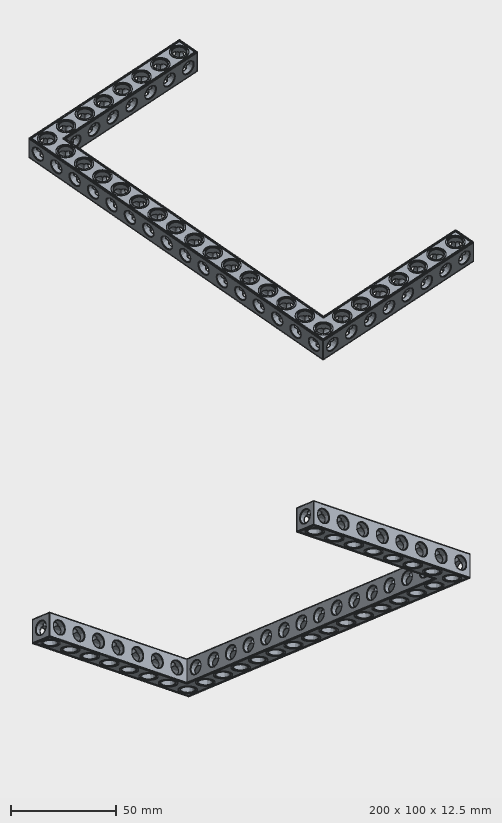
import cadquery as cq

length = 200.0
columns = 16
rows = 8
pitch = length / columns
depth = rows * pitch

hole_diameter = 7.0
chamfer = 0.3

rim_width = 1.0
ring_diameter = 9.2
recess_depth = 0.25

half_pitch = pitch / 2
left_end = -length / 2
right_leg_start = length / 2 - pitch
column_places = [left_end + half_pitch + i * pitch for i in range(columns)]
row_places = [half_pitch + i * pitch for i in range(rows)]
end_columns = [column_places[0], column_places[-1]]
vertical_hole_centres = [(x, row_places[0]) for x in column_places]
vertical_hole_centres += [(x, y) for x in end_columns for y in row_places[1:]]


def make_u_prism(inset, bottom, height):
    """U-shaped prism whose outline lies inside the beam outline by the inset."""
    outer_x = length / 2 - inset
    inner_x = right_leg_start + inset
    front_y = inset
    inner_y = pitch - inset
    back_y = depth - inset
    outline = [
        (-outer_x, front_y),
        (outer_x, front_y),
        (outer_x, back_y),
        (inner_x, back_y),
        (inner_x, inner_y),
        (-inner_x, inner_y),
        (-inner_x, back_y),
        (-outer_x, back_y),
    ]
    return cq.Workplane("XY", origin=(0, 0, bottom)).polyline(outline).close().extrude(height)


def make_frame():
    """Solid U with every edge chamfered except the two upright inner corners."""
    frame = make_u_prism(0, 0, pitch)
    return frame.edges("(#Z) or (|Z and (<Y or >Y))").chamfer(chamfer)


def make_bore(start, direction, bore_length):
    """Round hole tool that widens by the chamfer at both ends."""
    radius = hole_diameter / 2
    profile = [
        (0, 0),
        (radius + chamfer, 0),
        (radius, chamfer),
        (radius, bore_length - chamfer),
        (radius + chamfer, bore_length),
        (0, bore_length),
    ]
    side = (0, 0, 1) if direction[2] == 0 else (1, 0, 0)
    axial = cq.Vector(*direction)
    normal = cq.Vector(*side).cross(axial)
    plane = cq.Plane(origin=start, xDir=side, normal=normal.toTuple())
    return cq.Workplane(plane).polyline(profile).close().revolve(360, (0, 0, 0), (0, 1, 0)).val()


def make_vertical_bores():
    return [make_bore((x, y, 0), (0, 0, 1), pitch) for x, y in vertical_hole_centres]


def make_front_bores():
    """Holes along Y; the two end ones run the full length of the legs."""
    bores = []
    for x in column_places:
        bore_length = depth if x in end_columns else pitch
        bores.append(make_bore((x, 0, half_pitch), (0, 1, 0), bore_length))
    return bores


def make_side_bores():
    """Holes along X; the first runs the full crossbar, the rest cross each leg."""
    bores = [make_bore((left_end, row_places[0], half_pitch), (1, 0, 0), length)]
    for y in row_places[1:]:
        for start_x in (left_end, right_leg_start):
            bores.append(make_bore((start_x, y, half_pitch), (1, 0, 0), pitch))
    return bores


def make_recess(bottom):
    """Recess volume inside the rim, with the rings around the holes left standing."""
    rings = (
        cq.Workplane("XY", origin=(0, 0, bottom))
        .pushPoints(vertical_hole_centres)
        .circle(ring_diameter / 2)
        .extrude(recess_depth)
    )
    return make_u_prism(rim_width, bottom, recess_depth).cut(rings)


result = make_frame()
for recess_bottom in (0, pitch - recess_depth):
    result = result.cut(make_recess(recess_bottom))
for bores in (make_vertical_bores(), make_front_bores(), make_side_bores()):
    result = result.cut(cq.Workplane(cq.Compound.makeCompound(bores)))